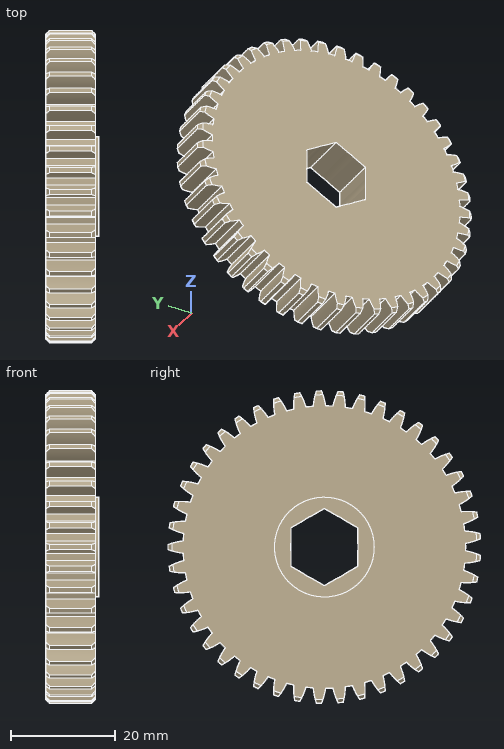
import math

import cadquery as cq

MODULE = 25.4 / 20
TOOTH_COUNT = 45
FACE_WIDTH = 9.525
DEDENDUM_FACTOR = 1.25
TOOTH_CHAMFER = 0.762

ROOT_THICKNESS = 2.41
PITCH_THICKNESS = 1.81
TIP_THICKNESS = 1.0

HUB_DIAMETER = 19.05
HUB_HEIGHT = 0.635
HEX_ACROSS_FLATS = 12.7
BORE_DIAMETER = 12.827

PITCH_RADIUS = MODULE * TOOTH_COUNT / 2
TIP_RADIUS = PITCH_RADIUS + MODULE
ROOT_RADIUS = PITCH_RADIUS - DEDENDUM_FACTOR * MODULE
TOOTH_PITCH = 2 * math.pi / TOOTH_COUNT
FIRST_TOOTH_ANGLE = math.pi


def polar(radius, angle):
    """Point in the YZ plane, angle measured from +Y towards +Z."""
    return (radius * math.cos(angle), radius * math.sin(angle))


def half_angle(thickness, radius):
    """Half the angle that a tooth of the given arc thickness fills at a radius."""
    return thickness / (2 * radius)


def gear_blank():
    """Toothed disc with arc-shaped tooth flanks, from x = 0 to the face width."""
    root_half_angle = half_angle(ROOT_THICKNESS, ROOT_RADIUS)
    pitch_half_angle = half_angle(PITCH_THICKNESS, PITCH_RADIUS)
    tip_half_angle = half_angle(TIP_THICKNESS, TIP_RADIUS)

    outline = cq.Workplane("YZ").moveTo(*polar(ROOT_RADIUS, FIRST_TOOTH_ANGLE - root_half_angle))
    for tooth in range(TOOTH_COUNT):
        center = FIRST_TOOTH_ANGLE + tooth * TOOTH_PITCH
        outline = outline.threePointArc(
            polar(PITCH_RADIUS, center - pitch_half_angle),
            polar(TIP_RADIUS, center - tip_half_angle),
        )
        outline = outline.threePointArc(
            polar(TIP_RADIUS, center),
            polar(TIP_RADIUS, center + tip_half_angle),
        )
        outline = outline.threePointArc(
            polar(PITCH_RADIUS, center + pitch_half_angle),
            polar(ROOT_RADIUS, center + root_half_angle),
        )
        outline = outline.threePointArc(
            polar(ROOT_RADIUS, center + TOOTH_PITCH / 2),
            polar(ROOT_RADIUS, center + TOOTH_PITCH - root_half_angle),
        )
    return outline.close().extrude(FACE_WIDTH)


def chamfered_envelope():
    """Disc with chamfered rims that trims the tooth tips on both faces."""
    disc = cq.Workplane("YZ").circle(TIP_RADIUS).extrude(FACE_WIDTH)
    return disc.faces("<X or >X").edges().chamfer(TOOTH_CHAMFER)


def hub():
    """Low round boss on the +X face."""
    return cq.Workplane("YZ", origin=(FACE_WIDTH, 0, 0)).circle(HUB_DIAMETER / 2).extrude(HUB_HEIGHT)


def hex_bore():
    """Hexagonal through bore, two corners on the Z axis, with a round relief along its flats."""
    across_corners = HEX_ACROSS_FLATS / math.cos(math.pi / 6)
    section = cq.Workplane("YZ").transformed(rotate=(0, 0, 90)).polygon(6, across_corners)
    hexagon = section.extrude(FACE_WIDTH + HUB_HEIGHT)
    relief = cq.Workplane("YZ").circle(BORE_DIAMETER / 2).extrude(FACE_WIDTH + HUB_HEIGHT)
    return hexagon.union(relief)


result = gear_blank().intersect(chamfered_envelope()).union(hub()).cut(hex_bore())